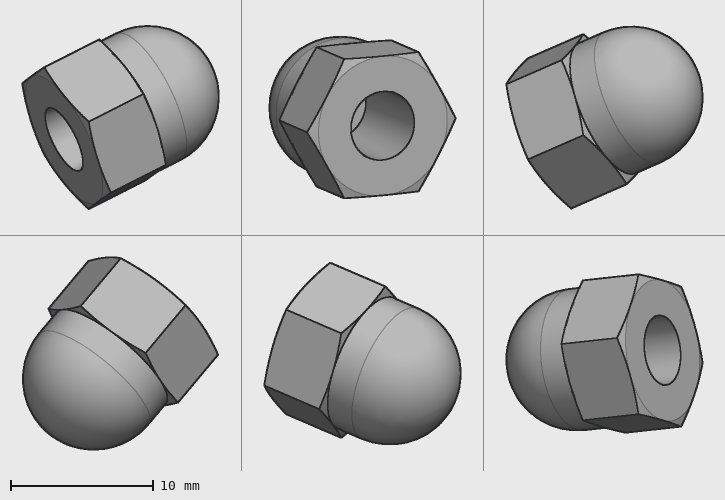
import cadquery as cq
import math

hex_sides = 6
across_flats = 10.0
hex_height = 5.0
collar_height = 2.0
dome_radius = across_flats / 2
bore_diameter = 4.92
bore_depth = 8.0
chamfer_angle = 15.0

across_corners = across_flats / math.cos(math.pi / hex_sides)
flat_radius = across_flats / 2
corner_radius = across_corners / 2
cone_overshoot = 1.0
cone_radius = corner_radius + cone_overshoot
cone_drop = (cone_radius - flat_radius) * math.tan(math.radians(chamfer_angle))


def revolve_about_y(profile):
    return profile.close().revolve(360, (0, 0, 0), (0, 1, 0))


def chamfered_hexagon():
    """Hexagonal body with corners on the X axis, chamfered at both ends."""
    prism = cq.Workplane("XZ").polygon(hex_sides, across_corners).extrude(-hex_height)
    envelope = revolve_about_y(
        cq.Workplane("XY")
        .lineTo(flat_radius, 0)
        .lineTo(cone_radius, cone_drop)
        .lineTo(cone_radius, hex_height - cone_drop)
        .lineTo(flat_radius, hex_height)
        .lineTo(0, hex_height)
    )
    return prism.intersect(envelope)


def domed_cap():
    """Cylindrical collar above the hexagon, closed by a hemisphere."""
    dome_base = hex_height + collar_height
    diagonal = dome_radius * math.sqrt(0.5)
    return revolve_about_y(
        cq.Workplane("XY")
        .moveTo(0, hex_height)
        .lineTo(dome_radius, hex_height)
        .lineTo(dome_radius, dome_base)
        .threePointArc((diagonal, dome_base + diagonal), (0, dome_base + dome_radius))
    )


def blind_bore():
    """Flat-bottomed bore entering from the open face."""
    return cq.Workplane("XZ").circle(bore_diameter / 2).extrude(-bore_depth)


result = chamfered_hexagon().union(domed_cap()).cut(blind_bore())